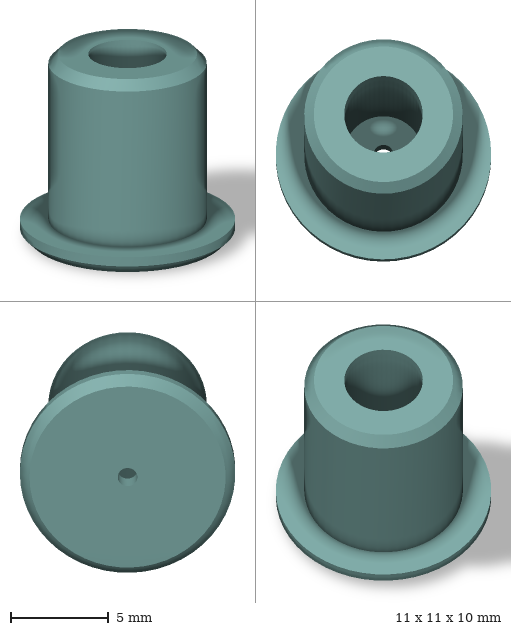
import cadquery as cq

total_height = 10.0
flange_diameter = 11.0
flange_thickness = 1.0
barrel_diameter = 8.1
bore_diameter = 4.0
orifice_diameter = 1.0
edge_chamfer = 0.5

bore_depth = total_height - flange_thickness

flange = (
    cq.Workplane("XY")
    .circle(flange_diameter / 2)
    .extrude(flange_thickness)
    .faces("<Z")
    .chamfer(edge_chamfer)
)

barrel = (
    cq.Workplane("XY")
    .circle(barrel_diameter / 2)
    .extrude(total_height)
    .faces(">Z")
    .chamfer(edge_chamfer)
)

result = (
    flange.union(barrel)
    .faces(">Z")
    .workplane(centerOption="CenterOfBoundBox")
    .cboreHole(orifice_diameter, bore_diameter, bore_depth)
)